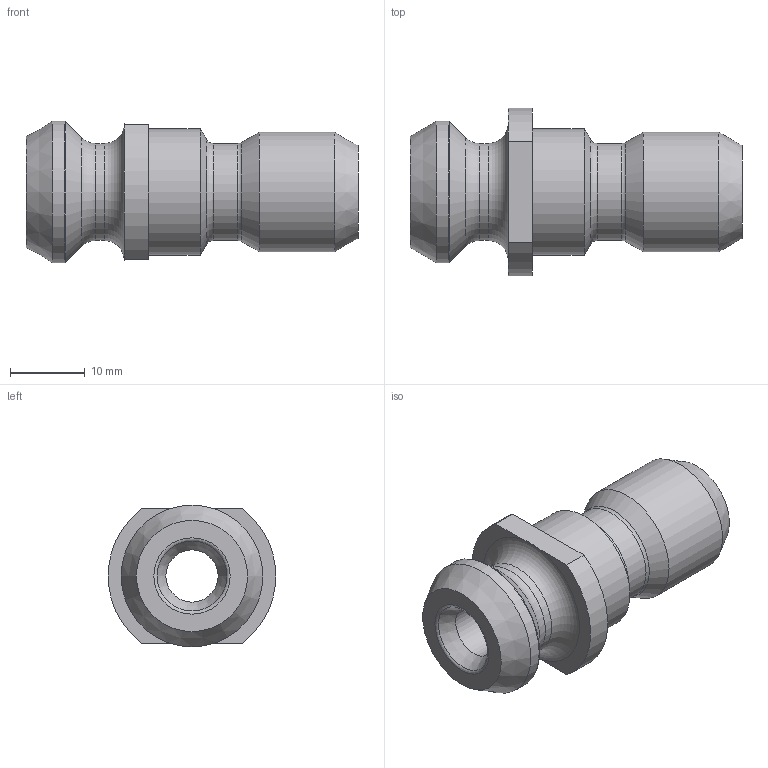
import math

import cadquery as cq

total_length = 44.5
flange_front_x = 13.15
flange_rear_x = 16.4
shoulder_end_x = 23.35
rear_groove_end_x = 28.4
tip_taper_length = 3.1
head_rim_end_x = 5.15

head_radius = 9.5
head_face_radius = 7.45
neck_radius = 6.5
flange_radius = 11.25
shoulder_radius = 8.5
plug_radius = 8.0
bore_radius = 3.5

head_rim_round = 0.2
neck_round = 2.65
rear_groove_round = 1.0
mouth_round = 0.5

taper_angle = 30
head_back_angle = 45
shoulder_angle = 60

flange_across_flats = 18.0
mouth_depth = 2.3


def slope(angle):
    """Radial change per unit of axial length of a taper."""
    return math.tan(math.radians(angle))


def arc_point(center, radius, angle):
    """Point on a circle, with the angle measured from +X toward +radius."""
    theta = math.radians(angle)
    return (center[0] + radius * math.cos(theta), center[1] + radius * math.sin(theta))


def add_arc(profile, center, radius, start_angle, end_angle):
    """Run a line to the start of an arc, then follow the arc."""
    return profile.lineTo(*arc_point(center, radius, start_angle)).threePointArc(
        arc_point(center, radius, (start_angle + end_angle) / 2),
        arc_point(center, radius, end_angle),
    )


def make_turned_body():
    """Solid of revolution without the bore; the flange is still a full disc."""
    head_nose_length = (head_radius - head_face_radius) / slope(taper_angle)
    rim_round_center = (head_rim_end_x, head_radius - head_rim_round)
    rim_tangent = arc_point(rim_round_center, head_rim_round, 90 - head_back_angle)

    neck_center_radius = neck_radius + neck_round
    neck_tangent_radius = neck_center_radius - neck_round * math.cos(math.radians(head_back_angle))
    neck_tangent_x = rim_tangent[0] + (rim_tangent[1] - neck_tangent_radius) / slope(head_back_angle)
    neck_front_x = neck_tangent_x + neck_round * math.sin(math.radians(head_back_angle))
    neck_front_center = (neck_front_x, neck_center_radius)
    neck_rear_center = (flange_front_x - neck_round, neck_center_radius)

    groove_center_radius = neck_radius + rear_groove_round
    wall_foot_radius = groove_center_radius - rear_groove_round * math.cos(math.radians(shoulder_angle))
    wall_foot_x = shoulder_end_x + (shoulder_radius - wall_foot_radius) / slope(shoulder_angle)
    groove_start_x = wall_foot_x + rear_groove_round * math.sin(math.radians(shoulder_angle))
    groove_front_center = (groove_start_x, groove_center_radius)
    groove_rear_center = (rear_groove_end_x, groove_center_radius)

    plug_foot = arc_point(groove_rear_center, rear_groove_round, taper_angle - 90)
    plug_start_x = plug_foot[0] + (plug_radius - plug_foot[1]) / slope(taper_angle)
    tip_radius = plug_radius - tip_taper_length * slope(taper_angle)

    profile = cq.Workplane("XY").lineTo(0, head_face_radius).lineTo(head_nose_length, head_radius)
    profile = add_arc(profile, rim_round_center, head_rim_round, 90, 90 - head_back_angle)
    profile = add_arc(profile, neck_front_center, neck_round, -90 - head_back_angle, -90)
    profile = add_arc(profile, neck_rear_center, neck_round, -90, 0)
    profile = (
        profile.lineTo(flange_front_x, flange_radius)
        .lineTo(flange_rear_x, flange_radius)
        .lineTo(flange_rear_x, shoulder_radius)
        .lineTo(shoulder_end_x, shoulder_radius)
    )
    profile = add_arc(profile, groove_front_center, rear_groove_round, -90 - shoulder_angle, -90)
    profile = add_arc(profile, groove_rear_center, rear_groove_round, -90, taper_angle - 90)
    profile = (
        profile.lineTo(plug_start_x, plug_radius)
        .lineTo(total_length - tip_taper_length, plug_radius)
        .lineTo(total_length, tip_radius)
        .lineTo(total_length, 0)
        .close()
    )
    return profile.revolve(360, (0, 0, 0), (1, 0, 0))


def make_flat_cutter(side):
    """Block that trims the flange to a flat on the +Z (side=1) or -Z (side=-1) side."""
    height = flange_radius
    return cq.Workplane("XY").box(
        flange_rear_x - flange_front_x, 2 * flange_radius, height, centered=(False, True, True)
    ).translate((flange_front_x, 0, side * (flange_across_flats + height) / 2))


def make_bore():
    """Through bore with a tapered mouth that is rounded into the front face."""
    round_length = mouth_round * (1 - math.sin(math.radians(taper_angle)))
    round_foot_radius = bore_radius + (mouth_depth - round_length) * slope(taper_angle)
    round_center_radius = round_foot_radius + mouth_round * math.cos(math.radians(taper_angle))
    round_center = (mouth_round, round_center_radius)
    profile = cq.Workplane("XY")
    profile = add_arc(profile, round_center, mouth_round, 180, 270 - taper_angle)
    profile = (
        profile.lineTo(mouth_depth, bore_radius)
        .lineTo(total_length, bore_radius)
        .lineTo(total_length, 0)
        .close()
    )
    return profile.revolve(360, (0, 0, 0), (1, 0, 0))


result = make_turned_body().cut(make_bore())
for side in (1, -1):
    result = result.cut(make_flat_cutter(side))